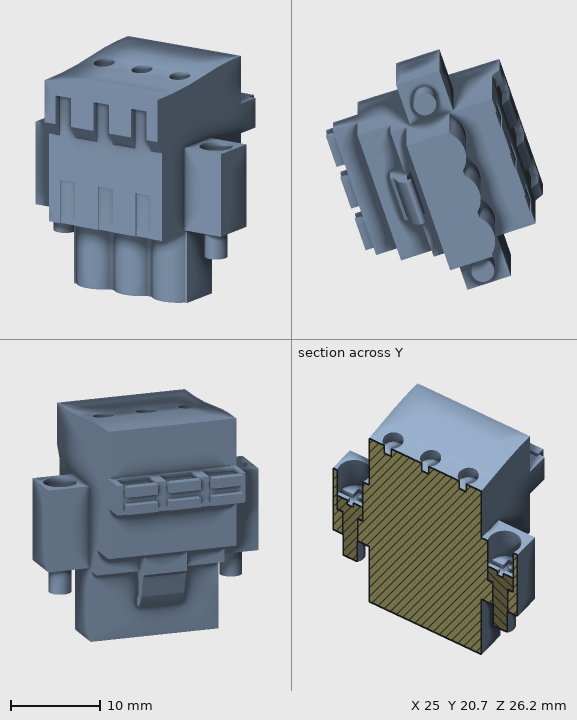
import cadquery as cq

POLE_COUNT = 3
PITCH = 5.1
POLES_X = [(i - (POLE_COUNT - 1) / 2) * PITCH for i in range(POLE_COUNT)]

BODY_WIDTH = 15.25
BODY_BACK = 16.75
BODY_BOTTOM = 8.32
BACK_TOP = 26.25
FRONT_TOP = 24.88
CREST_END_Y = 9.87
CREST_END_Z = 25.7
LOWER_FRONT = 0.87
CHAMFER_TOP = 20.0
CHAMFER_BOTTOM = 18.5
BACK_STEP_Y = 12.88
BACK_STEP_Z = 11.34

SHELF_BACK = 19.68
SHELF_TOP = 20.7
SHELF_BOTTOM = 17.27

LEVER_WIDTH = 3.65
LEVER_SHIFT = -0.13
LEVER_SIDE_GAP = 0.1
LEVER_FRONT = 17.21
LEVER_BACK = 20.65
LEVER_BOTTOM = 17.53
LEVER_PLATE_TOP = 20.18
LOWER_LIP_TOP = 18.6
UPPER_LIP_BOTTOM = 19.55

CLAMP_HOLE_RADIUS = 1.18
CLAMP_HOLE_Y = 8.2
CLAMP_HOLE_FLOOR = 24.15

UPPER_SLOT_WIDTH = 2.1
UPPER_SLOT_TOP = 23.33
LOWER_SLOT_WIDTH = 2.0
LOWER_SLOT_TOP = 13.35
LOWER_SLOT_DEPTH = 0.13

PLUG_BACK = 10.95
PLUG_FRONT = 5.9
PLUG_ROUND_WIDTH = 4.45
PLUG_ROUND_RISE = 0.97

LATCH_WIDTH = PITCH
LATCH_BACK = 14.62
LATCH_INNER_Y = 12.6
LATCH_ROOT_Y = 12.18
LATCH_SHOULDER = (14.22, 7.95)
LATCH_BEND_START = (13.65, 5.5)
LATCH_BEND_MIDDLE = (13.3, 4.8)
LATCH_TIP_BACK = (12.78, 4.12)
LATCH_TIP_FRONT = (12.39, 4.07)
LATCH_NOSE = (12.1, 4.7)
LATCH_NOSE_TOP = (12.25, 5.05)
LATCH_INNER_BOTTOM = 5.33
LATCH_INNER_TOP = 7.4

TOTAL_WIDTH = 25.03
FLANGE_FRONT = 5.43
FLANGE_BACK = 10.55
FLANGE_BOTTOM = 8.53
FLANGE_TOP = 18.1

SCREW_X = 2 * PITCH
SCREW_Y = 7.95
SCREW_TIP = 5.33
SHANK_RADIUS = 1.29
HEAD_RADIUS = 1.9
HEAD_SEAT = 12.07
HEAD_TOP = 14.17
DRIVE_DEPTH = 0.65
LONG_SLOT_WIDTH = 0.6
SHORT_SLOT_WIDTH = 0.75
SHORT_SLOT_LENGTH = 2.73


def box(x_range, y_range, z_range):
    """Block between two limits on each axis."""
    (x0, x1), (y0, y1), (z0, z1) = x_range, y_range, z_range
    return cq.Workplane("XY").box(x1 - x0, y1 - y0, z1 - z0, centered=False).translate((x0, y0, z0))


def centred(x, width):
    """Limits of a width centred on x."""
    return x - width / 2, x + width / 2


def cylinder(x, y, radius, z_range):
    """Upright cylinder between two heights."""
    z0, z1 = z_range
    return cq.Workplane("XY", origin=(x, y, z0)).circle(radius).extrude(z1 - z0)


def level_end_radius(run, drop):
    """Radius of an arc that is level at one end and falls by `drop` over `run`."""
    return (run**2 + drop**2) / (2 * drop)


def body():
    crest_radius = level_end_radius(BODY_BACK - CREST_END_Y, BACK_TOP - CREST_END_Z)
    hollow_radius = level_end_radius(CREST_END_Y, CREST_END_Z - FRONT_TOP)
    profile = (
        cq.Workplane("YZ", origin=(-BODY_WIDTH / 2, 0, 0))
        .moveTo(LOWER_FRONT, BODY_BOTTOM)
        .lineTo(BACK_STEP_Y, BODY_BOTTOM)
        .lineTo(BACK_STEP_Y, BACK_STEP_Z)
        .lineTo(BODY_BACK, BACK_STEP_Z)
        .lineTo(BODY_BACK, SHELF_BOTTOM)
        .lineTo(SHELF_BACK, SHELF_BOTTOM)
        .lineTo(SHELF_BACK, SHELF_TOP)
        .lineTo(BODY_BACK, SHELF_TOP)
        .lineTo(BODY_BACK, BACK_TOP)
        .radiusArc((CREST_END_Y, CREST_END_Z), -crest_radius)
        .radiusArc((0, FRONT_TOP), hollow_radius)
        .lineTo(0, CHAMFER_TOP)
        .lineTo(LOWER_FRONT, CHAMFER_BOTTOM)
        .close()
    )
    return profile.extrude(BODY_WIDTH)


def plug():
    """Block below the body with a rounded front at each pole."""
    block = box(centred(0, BODY_WIDTH), (PLUG_FRONT, PLUG_BACK), (0, BODY_BOTTOM))
    for x in POLES_X:
        left, right = centred(x, PLUG_ROUND_WIDTH)
        rounded_front = (
            cq.Workplane("XY")
            .moveTo(left, PLUG_FRONT)
            .threePointArc((x, PLUG_FRONT - PLUG_ROUND_RISE), (right, PLUG_FRONT))
            .close()
            .extrude(BODY_BOTTOM)
        )
        block = block.union(rounded_front)
    return block


def latch():
    """Sprung hook hanging behind the plug."""
    profile = (
        cq.Workplane("YZ", origin=(-LATCH_WIDTH / 2, 0, 0))
        .moveTo(BACK_STEP_Y, BACK_STEP_Z)
        .lineTo(LATCH_BACK, BACK_STEP_Z)
        .lineTo(LATCH_BACK, BODY_BOTTOM)
        .lineTo(*LATCH_SHOULDER)
        .lineTo(*LATCH_BEND_START)
        .threePointArc(LATCH_BEND_MIDDLE, LATCH_TIP_BACK)
        .lineTo(*LATCH_TIP_FRONT)
        .threePointArc(LATCH_NOSE, LATCH_NOSE_TOP)
        .lineTo(LATCH_INNER_Y, LATCH_INNER_BOTTOM)
        .lineTo(LATCH_INNER_Y, LATCH_INNER_TOP)
        .lineTo(LATCH_ROOT_Y, BODY_BOTTOM)
        .lineTo(BACK_STEP_Y, BODY_BOTTOM)
        .close()
    )
    return profile.extrude(LATCH_WIDTH)


def flanges():
    return box(centred(0, TOTAL_WIDTH), (FLANGE_FRONT, FLANGE_BACK), (FLANGE_BOTTOM, FLANGE_TOP))


def pole_cuts(x):
    """Clamp hole, the two front slots and the lever pocket of one pole."""
    clamp_hole = cylinder(x, CLAMP_HOLE_Y, CLAMP_HOLE_RADIUS, (CLAMP_HOLE_FLOOR, BACK_TOP))
    upper_slot = box(centred(x, UPPER_SLOT_WIDTH), (0, LOWER_FRONT), (CHAMFER_BOTTOM, UPPER_SLOT_TOP))
    lower_slot = box(
        centred(x, LOWER_SLOT_WIDTH),
        (LOWER_FRONT, LOWER_FRONT + LOWER_SLOT_DEPTH),
        (BODY_BOTTOM, LOWER_SLOT_TOP),
    )
    lever_pocket = box(
        centred(x + LEVER_SHIFT, LEVER_WIDTH + 2 * LEVER_SIDE_GAP),
        (LEVER_FRONT, SHELF_BACK),
        (LEVER_BOTTOM, SHELF_TOP),
    )
    return [clamp_hole, upper_slot, lower_slot, lever_pocket]


def screw_cuts(x):
    """Clearance of one flange screw: shank hole and head bore."""
    shank_hole = cylinder(x, SCREW_Y, SHANK_RADIUS, (FLANGE_BOTTOM, HEAD_SEAT))
    head_bore = cylinder(x, SCREW_Y, HEAD_RADIUS, (HEAD_SEAT, FLANGE_TOP))
    return [shank_hole, head_bore]


def make_housing():
    shape = body().union(plug()).union(latch()).union(flanges())
    for x in POLES_X:
        for cut in pole_cuts(x):
            shape = shape.cut(cut)
    for x in (-SCREW_X, SCREW_X):
        for cut in screw_cuts(x):
            shape = shape.cut(cut)
    return shape


def make_lever(x):
    """Release lever: a sunken plate whose back end carries two lips with a gap between them."""
    width = centred(x + LEVER_SHIFT, LEVER_WIDTH)
    lip_depth = (SHELF_BACK, LEVER_BACK)
    plate = box(width, (LEVER_FRONT, SHELF_BACK), (LEVER_BOTTOM, LEVER_PLATE_TOP))
    lower_lip = box(width, lip_depth, (LEVER_BOTTOM, LOWER_LIP_TOP))
    upper_lip = box(width, lip_depth, (UPPER_LIP_BOTTOM, SHELF_TOP))
    return plate.union(lower_lip).union(upper_lip)


def make_screw(x):
    """Cross-slotted screw sunk in a flange."""
    drive_range = (HEAD_TOP - DRIVE_DEPTH, HEAD_TOP)
    long_slot = box(centred(x, 2 * HEAD_RADIUS), centred(SCREW_Y, LONG_SLOT_WIDTH), drive_range)
    short_slot = box(centred(x, SHORT_SLOT_WIDTH), centred(SCREW_Y, SHORT_SLOT_LENGTH), drive_range)
    shank = cylinder(x, SCREW_Y, SHANK_RADIUS, (SCREW_TIP, HEAD_SEAT))
    head = cylinder(x, SCREW_Y, HEAD_RADIUS, (HEAD_SEAT, HEAD_TOP))
    return shank.union(head).cut(long_slot).cut(short_slot)


housing = make_housing()
levers = [make_lever(x) for x in POLES_X]
screws = [make_screw(x) for x in (-SCREW_X, SCREW_X)]

result = cq.Compound.makeCompound(
    [housing.val(), *[lever.val() for lever in levers], *[screw.val() for screw in screws]]
)